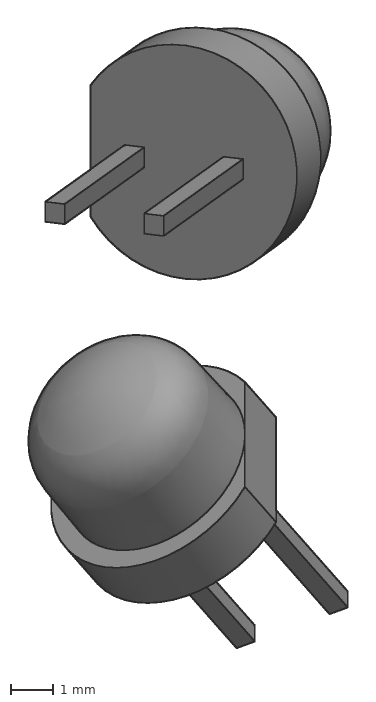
import cadquery as cq
import math

FLANGE_RADIUS = 2.9
FLANGE_THICKNESS = 1.5
FLAT_OFFSET = 2.4

DOME_HEIGHT = 3.3
DOME_BASE_RADIUS = 2.4
DOME_SHOULDER_RADIUS = 2.36
SHOULDER_HEIGHT = 1.69
CAP_RADIUS = 1.63
CAP_HEIGHT = 0.42

LEAD_WIDTH = 0.5
LEAD_LENGTH = 5
LEAD_PITCH = 2.54


def make_flange():
    """Round disc with one flat on its -X side."""
    disc = cq.Workplane("XZ").circle(FLANGE_RADIUS).extrude(-FLANGE_THICKNESS)
    trim = cq.Workplane("XY").box(
        FLANGE_RADIUS,
        2 * FLANGE_THICKNESS,
        2 * FLANGE_RADIUS,
    ).translate((-FLAT_OFFSET - FLANGE_RADIUS / 2, FLANGE_THICKNESS / 2, 0))
    return disc.cut(trim)


def make_dome():
    """Tapered barrel, rounded shoulder and shallow spherical cap, revolved about Y."""
    shoulder_y = FLANGE_THICKNESS + SHOULDER_HEIGHT
    tip_y = FLANGE_THICKNESS + DOME_HEIGHT
    cap_y = tip_y - CAP_HEIGHT

    inset = DOME_SHOULDER_RADIUS - CAP_RADIUS
    rise = cap_y - shoulder_y
    shoulder_arc_radius = (inset**2 + rise**2) / (2 * inset)
    half_angle = math.atan2(inset, rise)
    shoulder_mid = (
        DOME_SHOULDER_RADIUS - shoulder_arc_radius * (1 - math.cos(half_angle)),
        shoulder_y + shoulder_arc_radius * math.sin(half_angle),
    )

    sphere_radius = (CAP_RADIUS**2 + CAP_HEIGHT**2) / (2 * CAP_HEIGHT)
    cap_half_angle = math.asin(CAP_RADIUS / sphere_radius) / 2
    cap_mid = (
        sphere_radius * math.sin(cap_half_angle),
        tip_y - sphere_radius * (1 - math.cos(cap_half_angle)),
    )

    profile = (
        cq.Workplane("XY")
        .moveTo(0, FLANGE_THICKNESS)
        .lineTo(DOME_BASE_RADIUS, FLANGE_THICKNESS)
        .lineTo(DOME_SHOULDER_RADIUS, shoulder_y)
        .threePointArc(shoulder_mid, (CAP_RADIUS, cap_y))
        .threePointArc(cap_mid, (0, tip_y))
        .close()
    )
    return profile.revolve(360, (0, 0, 0), (0, 1, 0))


def make_housing():
    """Lens body: flange and dome in one piece."""
    return make_flange().union(make_dome())


def make_lead(x):
    """Square lead that starts on the flange rear face and runs toward -Y."""
    return cq.Workplane("XZ").center(x, 0).rect(LEAD_WIDTH, LEAD_WIDTH).extrude(LEAD_LENGTH)


housing = make_housing()
leads = [make_lead(side * LEAD_PITCH / 2) for side in (-1, 1)]

result = cq.Compound.makeCompound([housing.val(), *[lead.val() for lead in leads]])